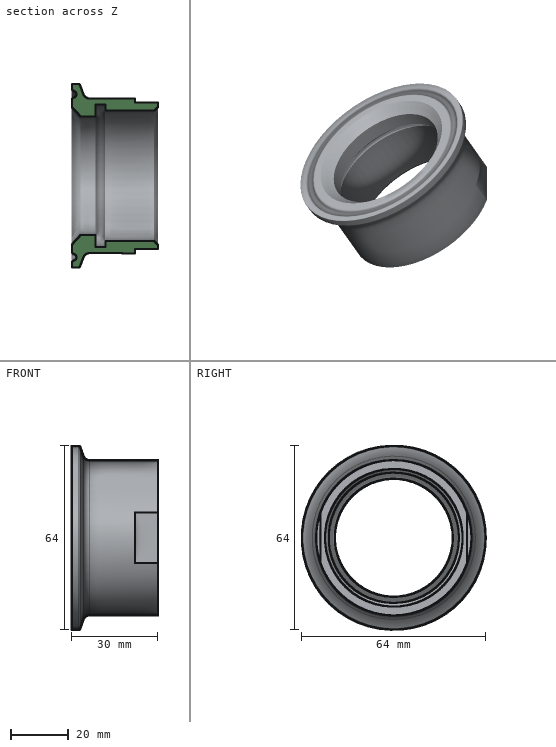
import cadquery as cq
import math

length = 30.0
flange_radius = 32.0
body_radius = 27.0

clamp_slope = math.radians(20)
rim_width = 2.4
front_edge_radius = 0.2
rim_blend_radius = 0.65
neck_blend_radius = 2.1

groove_radius = 28.35
groove_half_width = 2.0
groove_lip_radius = 0.95
groove_wall_length = 0.25
groove_wall_angle = math.radians(70)

entry_radius = 23.9
entry_depth = 3.15
throat_radius = 20.5
throat_end = 8.3
relief_radius = 24.7
relief_width = 3.3
rear_bore_radius = 22.65
rear_chamfer = 1.3

flat_length = 8.0
flat_distance = 25.55


def arc_point(center, radius, angle):
    return (center[0] + radius * math.cos(angle), center[1] + radius * math.sin(angle))


def revolve_about_x(profile):
    return profile.close().revolve(360, (0, 0, 0), (1, 0, 0))


def outer_body():
    rim_center = (rim_width, flange_radius - rim_blend_radius)
    rim_end = arc_point(rim_center, rim_blend_radius, clamp_slope)
    rim_middle = arc_point(rim_center, rim_blend_radius, (clamp_slope + math.pi / 2) / 2)

    neck_center_r = body_radius + neck_blend_radius
    neck_start_r = neck_center_r - neck_blend_radius * math.sin(clamp_slope)
    neck_start_x = rim_end[0] + (rim_end[1] - neck_start_r) * math.tan(clamp_slope)
    neck_center = (neck_start_x + neck_blend_radius * math.cos(clamp_slope), neck_center_r)
    neck_middle_angle = math.pi + (clamp_slope + math.pi / 2) / 2
    neck_middle = arc_point(neck_center, neck_blend_radius, neck_middle_angle)

    front_center = (front_edge_radius, flange_radius - front_edge_radius)
    front_middle = arc_point(front_center, front_edge_radius, math.radians(135))
    profile = (
        cq.Workplane("XY")
        .lineTo(0, front_center[1])
        .threePointArc(front_middle, (front_center[0], flange_radius))
        .lineTo(rim_width, flange_radius)
        .threePointArc(rim_middle, rim_end)
        .lineTo(neck_start_x, neck_start_r)
        .threePointArc(neck_middle, (neck_center[0], body_radius))
        .lineTo(length, body_radius)
        .lineTo(length, 0)
    )
    return revolve_about_x(profile)


def bore():
    relief_end = throat_end + relief_width
    profile = cq.Workplane("XY").polyline([
        (0, 0),
        (0, entry_radius),
        (entry_depth, throat_radius),
        (throat_end, throat_radius),
        (throat_end, relief_radius),
        (relief_end, relief_radius),
        (relief_end, rear_bore_radius),
        (length - rear_chamfer, rear_bore_radius),
        (length, rear_bore_radius + rear_chamfer),
        (length, 0),
    ])
    return revolve_about_x(profile)


def gasket_groove():
    wall_drop = groove_wall_length * math.sin(groove_wall_angle)
    wall_run = groove_wall_length * math.cos(groove_wall_angle)
    wall_top_offset = groove_half_width - groove_lip_radius * math.sin(groove_wall_angle)
    wall_foot_offset = wall_top_offset - wall_run
    bottom_radius = wall_foot_offset / math.sin(groove_wall_angle)
    lip_drop = groove_lip_radius * (1 - math.cos(groove_wall_angle))
    wall_foot_x = lip_drop + wall_drop
    bottom_drop = bottom_radius * (1 - math.cos(groove_wall_angle))
    half_angle = groove_wall_angle / 2
    lip_middle_x = groove_lip_radius * (1 - math.cos(half_angle))
    lip_middle_offset = groove_half_width - groove_lip_radius * math.sin(half_angle)
    profile = (
        cq.Workplane("XY")
        .moveTo(0, groove_radius - groove_half_width)
        .threePointArc(
            (lip_middle_x, groove_radius - lip_middle_offset),
            (lip_drop, groove_radius - wall_top_offset),
        )
        .lineTo(wall_foot_x, groove_radius - wall_foot_offset)
        .threePointArc(
            (wall_foot_x + bottom_drop, groove_radius),
            (wall_foot_x, groove_radius + wall_foot_offset),
        )
        .lineTo(lip_drop, groove_radius + wall_top_offset)
        .threePointArc(
            (lip_middle_x, groove_radius + lip_middle_offset),
            (0, groove_radius + groove_half_width),
        )
    )
    return revolve_about_x(profile)


def wrench_flat(side):
    cut_depth = flange_radius - flat_distance
    return cq.Workplane("XY").box(flat_length, cut_depth, 2 * flange_radius).translate(
        (length - flat_length / 2, side * (flat_distance + cut_depth / 2), 0)
    )


result = outer_body().cut(bore()).cut(gasket_groove())
for side in (-1, 1):
    result = result.cut(wrench_flat(side))